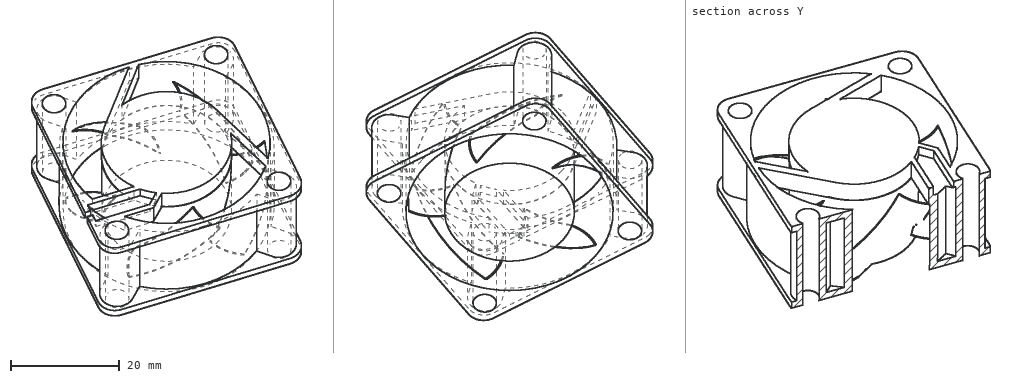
import cadquery as cq
import math


side = 39.88
height = 20.05
flange_thickness = 1.6
corner_radius = 3.27
barrel_radius = 19.8
bore_radius = 19.05
hole_offset = 16.0
hole_radius = 2.15
post_radius = 3.2

hub_radius = 12.0
stator_depth = 4.0
spoke_width = 1.5
spoke_angles = (18.5, 141.0)

channel_left = 7.5
channel_right = 13.48
channel_shoulder = -7.78
channel_wall = 1.0
channel_slope_angle = 45.0
channel_depth = 1.95
channel_end = -18.82
exit_slot_left = 9.97
exit_slot_right = 11.0

rotor_radius = 11.92
blade_count = 5
blade_tip_radius = 18.62
blade_middle_radius = 15.35
blade_root_radius = rotor_radius - 0.4
blade_top = 4.65
blade_bottom = -7.98
blade_start_angle = 20.6
blade_span = 55.0
blade_width_angle = 1.0
blade_middle_lag = 2.1
blade_tip_lag = 7.8

top = height / 2
bottom = -top
stator_bottom = top - stator_depth


def cylinder(radius, z_low, z_high):
    return cq.Workplane("XY").workplane(offset=z_low).circle(radius).extrude(z_high - z_low)


def prism(points, z_low, z_high):
    return cq.Workplane("XY").workplane(offset=z_low).polyline(points).close().extrude(z_high - z_low)


def polar(radius, angle):
    turn = math.radians(angle)
    return radius * math.cos(turn), radius * math.sin(turn)


def flange(z_low):
    plate = cq.Workplane("XY").workplane(offset=z_low).rect(side, side).extrude(flange_thickness)
    return plate.edges("|Z").fillet(corner_radius)


def corner_places(sketch_plane):
    return sketch_plane.rect(2 * hole_offset, 2 * hole_offset, forConstruction=True).vertices()


def housing():
    """Two flanges joined by a barrel and four posts, with a web between each post and the barrel."""
    base = cq.Workplane("XY").workplane(offset=bottom)
    body = flange(bottom).union(flange(top - flange_thickness))
    body = body.union(cylinder(barrel_radius, bottom, top))
    body = body.union(corner_places(base).circle(post_radius).extrude(height))
    web_length = 2 * hole_offset * math.sqrt(2)
    for angle in (45, 135):
        web = base.transformed(rotate=(0, 0, angle)).rect(web_length, 2 * post_radius).extrude(height)
        body = body.union(web)
    body = body.cut(cylinder(bore_radius, bottom, top))
    return body.cut(corner_places(base).circle(hole_radius).extrude(height))


def spoke(angle):
    """Straight bar whose left edge is tangent to the hub."""
    bar = cq.Workplane("XY").workplane(offset=stator_bottom)
    bar = bar.center(side / 2, hub_radius - spoke_width / 2).rect(side, spoke_width).extrude(stator_depth)
    return bar.rotate((0, 0, 0), (0, 0, 1), angle)


def channel_outline(left, right, shoulder, end):
    """Channel outline with its hub end sloping up to the left."""
    rise = (right - left) * math.tan(math.radians(channel_slope_angle))
    return [(left, end), (right, end), (right, shoulder), (left, shoulder + rise)]


def stator():
    """Spokes and channel block, limited to the bore so that they end on the housing."""
    block = channel_outline(channel_left, channel_right, channel_shoulder, -side / 2)
    arms = prism(block, stator_bottom, top)
    for angle in spoke_angles:
        arms = arms.union(spoke(angle))
    return arms.intersect(cylinder(bore_radius, stator_bottom, top))


def channel_recess():
    """Open trough bounded by the hub, with a narrow wire exit through the -Y edge."""
    floor = top - channel_depth
    shoulder_drop = channel_wall * math.tan(math.radians(channel_slope_angle / 2))
    trough = channel_outline(
        channel_left + channel_wall,
        channel_right - channel_wall,
        channel_shoulder - shoulder_drop,
        channel_end,
    )
    slot = [
        (exit_slot_left, channel_end),
        (exit_slot_right, channel_end),
        (exit_slot_right, -side / 2),
        (exit_slot_left, -side / 2),
    ]
    recess = prism(trough, floor, top).cut(cylinder(hub_radius, floor, top))
    return recess.union(prism(slot, floor, top))


def blade(angle):
    """Thin curved section twisted upwards about the fan axis."""
    far = angle + blade_width_angle
    section = (
        cq.Workplane("XY").workplane(offset=blade_bottom)
        .moveTo(*polar(blade_root_radius, angle))
        .threePointArc(
            polar(blade_middle_radius, angle + blade_middle_lag),
            polar(blade_tip_radius, angle + blade_tip_lag),
        )
        .lineTo(*polar(blade_tip_radius, far + blade_tip_lag))
        .threePointArc(
            polar(blade_middle_radius, far + blade_middle_lag),
            polar(blade_root_radius, far),
        )
        .close()
    )
    return section.twistExtrude(blade_top - blade_bottom, blade_span - blade_width_angle)


fan = housing().union(stator()).cut(channel_recess())
fan = fan.union(cylinder(hub_radius, stator_bottom, top))
fan = fan.union(cylinder(rotor_radius, bottom, stator_bottom))
for index in range(blade_count):
    fan = fan.union(blade(blade_start_angle + index * 360 / blade_count))

result = fan